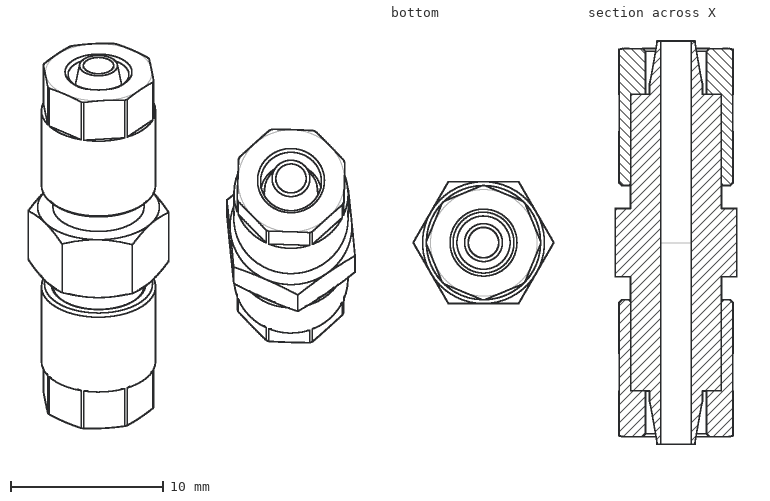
import cadquery as cq
import math

TOTAL_LENGTH = 26.5
BARB_PROTRUSION = 0.5
NUT_LENGTH = 9.0

HEX_ACROSS_FLATS = 8.0
HEX_HEIGHT = 4.5
HEX_CHAMFER_ANGLE = 30.0
NECK_DIAMETER = 6.0
BORE_DIAMETER = 2.0
BARB_TIP_DIAMETER = 2.5
BARB_ROOT_DIAMETER = 3.5
BARB_TAPER_ANGLE = 10.0

NUT_DIAMETER = 7.5
OCTAGON_ACROSS_FLATS = 7.0
OCTAGON_HEIGHT = 3.0
OCTAGON_CHAMFER_ANGLE = 15.0
NUT_BORE_DIAMETER = 4.0
NUT_EDGE_CHAMFER = 0.2
NECK_MOUTH_CHAMFER = 0.1

BARB_TIP_Z = TOTAL_LENGTH / 2
NUT_OUTER_Z = BARB_TIP_Z - BARB_PROTRUSION
NUT_INNER_Z = NUT_OUTER_Z - NUT_LENGTH
NECK_END_Z = NUT_OUTER_Z - OCTAGON_HEIGHT


def across_corners(across_flats, sides):
    """Corner-to-corner width of a regular polygon with an even number of sides."""
    return across_flats / math.cos(math.pi / sides)


def revolved(points):
    """Solid of revolution about Z from (radius, height) points."""
    return cq.Workplane("XZ").polyline(points).close().revolve(360, (0, 0), (0, 1))


def chamfered_hexagon():
    """Hexagon with corners on X, its end corners trimmed by shallow cones."""
    corner_diameter = across_corners(HEX_ACROSS_FLATS, 6)
    flat_radius = HEX_ACROSS_FLATS / 2
    corner_radius = corner_diameter / 2
    half_height = HEX_HEIGHT / 2
    chamfer_height = (corner_radius - flat_radius) * math.tan(math.radians(HEX_CHAMFER_ANGLE))
    shoulder_z = half_height - chamfer_height
    prism = cq.Workplane("XY").polygon(6, corner_diameter).extrude(half_height, both=True)
    envelope = revolved([
        (0, -half_height),
        (flat_radius, -half_height),
        (corner_radius, -shoulder_z),
        (corner_radius, shoulder_z),
        (flat_radius, half_height),
        (0, half_height),
    ])
    return prism.intersect(envelope)


def neck_and_barb():
    """Upper neck with the tapered hose barb on its end face."""
    tip_radius = BARB_TIP_DIAMETER / 2
    root_radius = BARB_ROOT_DIAMETER / 2
    taper_length = (root_radius - tip_radius) / math.tan(math.radians(BARB_TAPER_ANGLE))
    return revolved([
        (0, 0),
        (NECK_DIAMETER / 2, 0),
        (NECK_DIAMETER / 2, NECK_END_Z),
        (root_radius, NECK_END_Z),
        (root_radius, BARB_TIP_Z - taper_length),
        (tip_radius, BARB_TIP_Z),
        (0, BARB_TIP_Z),
    ])


def make_connector():
    """Double-ended body: hexagon, two necks with hose barbs, and a through bore."""
    upper_end = neck_and_barb()
    lower_end = upper_end.mirror("XY")
    bore = cq.Workplane("XY").circle(BORE_DIAMETER / 2).extrude(TOTAL_LENGTH / 2, both=True)
    return chamfered_hexagon().union(upper_end).union(lower_end).cut(bore)


def nut_blank():
    """Turned outside of the upper nut, chamfered at both ends."""
    radius = NUT_DIAMETER / 2
    end_radius = OCTAGON_ACROSS_FLATS / 2
    end_chamfer_height = (radius - end_radius) * math.tan(math.radians(OCTAGON_CHAMFER_ANGLE))
    return revolved([
        (0, NUT_INNER_Z),
        (radius - NUT_EDGE_CHAMFER, NUT_INNER_Z),
        (radius, NUT_INNER_Z + NUT_EDGE_CHAMFER),
        (radius, NUT_OUTER_Z - end_chamfer_height),
        (end_radius, NUT_OUTER_Z),
        (0, NUT_OUTER_Z),
    ])


def octagon_waste():
    """Oversized ring around the eight wrench flats, whose corners include the X and Y axes."""
    return (
        cq.Workplane("XY", origin=(0, 0, NECK_END_Z))
        .circle(NUT_DIAMETER)
        .polygon(8, across_corners(OCTAGON_ACROSS_FLATS, 8))
        .extrude(OCTAGON_HEIGHT)
    )


def nut_cavity():
    """Hose opening widening to the bore that takes the neck, both with 45-degree mouth chamfers."""
    bore_radius = NUT_BORE_DIAMETER / 2
    neck_radius = NECK_DIAMETER / 2
    return revolved([
        (0, NUT_INNER_Z),
        (neck_radius + NECK_MOUTH_CHAMFER, NUT_INNER_Z),
        (neck_radius, NUT_INNER_Z + NECK_MOUTH_CHAMFER),
        (neck_radius, NECK_END_Z),
        (bore_radius, NECK_END_Z),
        (bore_radius, NUT_OUTER_Z - NUT_EDGE_CHAMFER),
        (bore_radius + NUT_EDGE_CHAMFER, NUT_OUTER_Z),
        (0, NUT_OUTER_Z),
    ])


def make_nut(turn_about_x):
    """Clamping nut for the upper end, turned about X in degrees to reach its own end."""
    upper_nut = nut_blank().cut(octagon_waste()).cut(nut_cavity())
    return upper_nut.rotate((0, 0, 0), (1, 0, 0), turn_about_x)


connector = make_connector()
nuts = [make_nut(turn_about_x) for turn_about_x in (0, 180)]

result = cq.Compound.makeCompound([connector.val(), *[nut.val() for nut in nuts]])